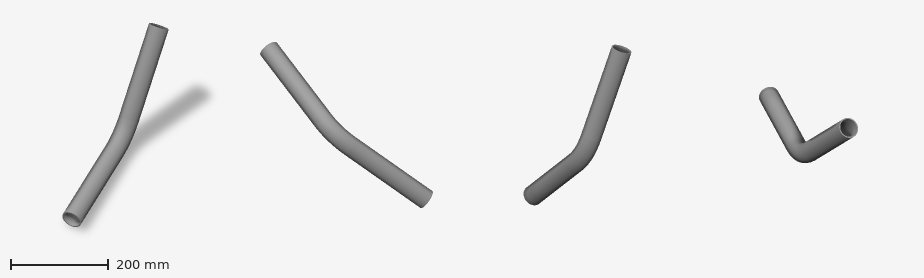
import cadquery as cq
import math

overall_length = 427.0
outer_diameter = 42.3
wall_thickness = 2.5
bend_radius = 100.0
bend_angle = 45.0

outer_radius = outer_diameter / 2
inner_radius = outer_radius - wall_thickness
bend_sin = math.sin(math.radians(bend_angle))
bend_cos = math.cos(math.radians(bend_angle))

leg_length = (overall_length - (bend_radius + outer_radius) * bend_sin) / (1 + bend_cos)


def bend_point(angle):
    """Centreline point (Y, Z) after turning through the angle, in degrees."""
    turn = math.radians(angle)
    y = leg_length + bend_radius * math.sin(turn)
    z = bend_radius * (1 - math.cos(turn))
    return y, z


bend_start = bend_point(0)
bend_middle = bend_point(bend_angle / 2)
bend_end = bend_point(bend_angle)
slope_end = (bend_end[0] + leg_length * bend_cos, bend_end[1] + leg_length * bend_sin)

centreline = (
    cq.Workplane("YZ")
    .moveTo(0, 0)
    .lineTo(*bend_start)
    .threePointArc(bend_middle, bend_end)
    .lineTo(*slope_end)
)

result = (
    cq.Workplane("XZ")
    .circle(outer_radius)
    .circle(inner_radius)
    .sweep(centreline)
)